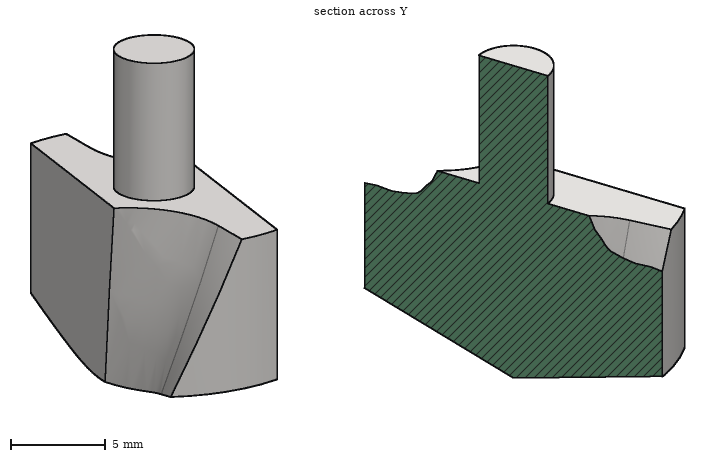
import cadquery as cq
import math

HEAD_DIAMETER = 18.5
HEAD_THICKNESS = 6.57
HEAD_SIDE_HEIGHT = 8.5
POINT_HEIGHT = 2.8
SHANK_DIAMETER = 4.3
SHANK_LENGTH = 7.8

FLUTE_RADIUS = 5.55
FLUTE_CENTER_X = 7.45
FLUTE_CENTER_Y = -4.83
FLUTE_FACE_ANGLE = 6.9
FLUTE_TWIST_RATE = 2.92
CUT_MARGIN = 2.0

head_radius = HEAD_DIAMETER / 2
head_height = POINT_HEIGHT + HEAD_SIDE_HEIGHT
flute_twist = FLUTE_TWIST_RATE * head_height


def make_head():
    """Cone-pointed cylinder cut down to a flat blade."""
    round_head = (
        cq.Workplane("XZ")
        .lineTo(head_radius, POINT_HEIGHT)
        .lineTo(head_radius, head_height)
        .lineTo(0, head_height)
        .close()
        .revolve(360, (0, 0), (0, 1))
    )
    blade = cq.Workplane("XY").box(HEAD_DIAMETER, HEAD_THICKNESS, head_height, centered=(True, True, False))
    return round_head.intersect(blade)


def flute_arc_point(angle):
    """Point of the flute arc at an angle in degrees from +X."""
    direction = math.radians(angle)
    return (
        FLUTE_CENTER_X + FLUTE_RADIUS * math.cos(direction),
        FLUTE_CENTER_Y + FLUTE_RADIUS * math.sin(direction),
    )


def make_flute_cutter():
    """Twisted solid that clears the flute on the +X, -Y side."""
    face_start_angle = 90 + FLUTE_FACE_ANGLE
    arc_end_angle = 180
    face_start = flute_arc_point(face_start_angle)
    arc_middle = flute_arc_point((face_start_angle + arc_end_angle) / 2)
    arc_end = flute_arc_point(arc_end_angle)
    outer_x = head_radius + CUT_MARGIN
    face_rise = (outer_x - face_start[0]) * math.tan(math.radians(FLUTE_FACE_ANGLE))
    outer_y = -head_radius
    return (
        cq.Workplane("XY")
        .transformed(rotate=(0, 0, -flute_twist))
        .moveTo(outer_x, face_start[1] + face_rise)
        .lineTo(*face_start)
        .threePointArc(arc_middle, arc_end)
        .lineTo(arc_end[0], outer_y)
        .lineTo(outer_x, outer_y)
        .close()
        .twistExtrude(head_height, flute_twist)
    )


def make_shank():
    """Round shank standing on the top face of the head."""
    return (
        cq.Workplane("XY")
        .workplane(offset=head_height)
        .circle(SHANK_DIAMETER / 2)
        .extrude(SHANK_LENGTH)
    )


head = make_head()
flute_cutter = make_flute_cutter()
for flute_position in (0, 180):
    head = head.cut(flute_cutter.rotate((0, 0, 0), (0, 0, 1), flute_position))

result = head.union(make_shank())